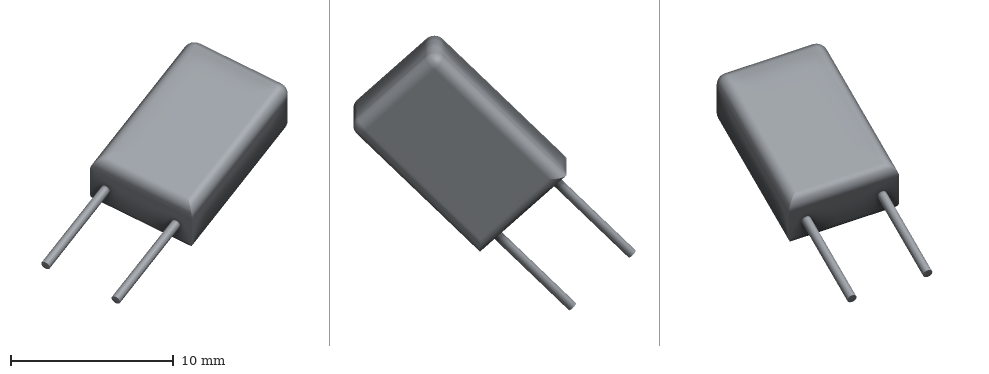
import cadquery as cq


overall_length = 18.68
body_width = 7.36
body_height = 4.07

body_length = 11.68
edge_radius = 0.75

lead_diameter = 0.62
lead_pitch = 5.08
lead_length = overall_length - body_length

lead_end_y = 0.0


def make_body():
    """Block with every edge rounded except the two upright corners at the lead end."""
    block = cq.Workplane("XY").box(body_width, body_length, body_height)
    block = block.translate((0, lead_end_y + body_length / 2, 0))
    return block.edges("not (|Z and <Y)").fillet(edge_radius)


def make_lead(x):
    """Straight round wire butted against the lead end of the body."""
    start = cq.Workplane("XZ", origin=(x, lead_end_y, 0))
    return start.circle(lead_diameter / 2).extrude(lead_length)


body = make_body()
leads = [make_lead(side * lead_pitch / 2) for side in (-1, 1)]

result = cq.Compound.makeCompound([body.val(), *[lead.val() for lead in leads]])